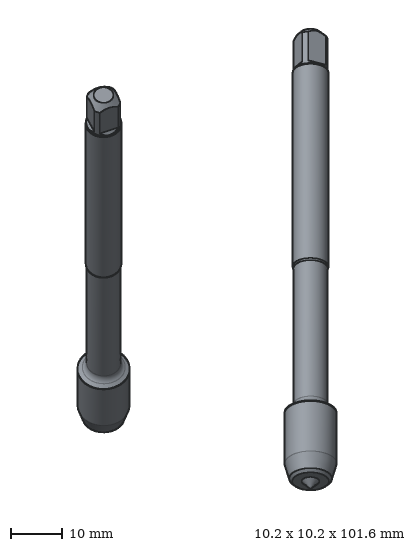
import cadquery as cq
import math

total_length = 101.6

head_radius = 10.2 / 2
head_top = 16.8
taper_top = 5.7
taper_bottom = 2.3
taper_end_radius = 4.2
end_face_height = 1.7
end_face_radius = taper_end_radius - (taper_bottom - end_face_height)
point_radius = end_face_height

neck_radius = 6.7 / 2
neck_top = 49.2
flare_rim_height = 0.2
flare_bottom = head_top + flare_rim_height
flare_angle = math.radians(60)
flare_fillet = 1.6

shank_radius = 7.0 / 2
shank_top = 92.9
shank_lower_chamfer = 0.4
shank_upper_chamfer = 0.3

square_width = 5.5
flat_count = 4
square_corner_radius = 6.7 / 2
square_base = shank_top + shank_upper_chamfer
flat_runout_height = square_corner_radius - square_width / 2
tip_radius = 1.9
tip_chamfer_height = square_corner_radius - tip_radius


def make_head():
    """Tapered cutting head with a conical centring point at its lower end."""
    profile = (
        cq.Workplane("XZ")
        .moveTo(0, 0)
        .lineTo(point_radius, end_face_height)
        .lineTo(end_face_radius, end_face_height)
        .lineTo(taper_end_radius, taper_bottom)
        .lineTo(head_radius, taper_top)
        .lineTo(head_radius, head_top)
        .lineTo(0, head_top)
        .close()
    )
    return profile.revolve(360, (0, 0, 0), (0, 1, 0))


def make_round_shank():
    """Flared neck and shank, with a small chamfer at both ends of the shank."""
    fillet_end_radius = neck_radius + flare_fillet * (1 - math.cos(flare_angle))
    fillet_bottom = flare_bottom + (head_radius - fillet_end_radius) / math.tan(flare_angle)
    fillet_top = fillet_bottom + flare_fillet * math.sin(flare_angle)
    fillet_middle = (
        neck_radius + flare_fillet * (1 - math.cos(flare_angle / 2)),
        fillet_top - flare_fillet * math.sin(flare_angle / 2),
    )
    profile = (
        cq.Workplane("XZ")
        .moveTo(0, head_top)
        .lineTo(head_radius, head_top)
        .lineTo(head_radius, flare_bottom)
        .lineTo(fillet_end_radius, fillet_bottom)
        .threePointArc(fillet_middle, (neck_radius, fillet_top))
        .lineTo(neck_radius, neck_top)
        .lineTo(shank_radius, neck_top + shank_lower_chamfer)
        .lineTo(shank_radius, shank_top)
        .lineTo(square_corner_radius, square_base)
        .lineTo(0, square_base)
        .close()
    )
    return profile.revolve(360, (0, 0, 0), (0, 1, 0))


def make_flat_cutter():
    """Cutter for the +X flat, sloped where the flat runs out at its foot."""
    half_width = square_width / 2
    return (
        cq.Workplane("XZ")
        .moveTo(half_width, total_length)
        .lineTo(half_width, square_base + flat_runout_height)
        .lineTo(square_corner_radius, square_base)
        .lineTo(shank_radius, square_base)
        .lineTo(shank_radius, total_length)
        .close()
        .extrude(shank_radius, both=True)
    )


def make_driving_square():
    """Round stem with a conical top and four flats."""
    square = (
        cq.Workplane("XY", origin=(0, 0, square_base))
        .circle(square_corner_radius)
        .extrude(total_length - square_base)
        .faces(">Z")
        .chamfer(tip_chamfer_height)
    )
    for side in range(flat_count):
        square = square.cut(make_flat_cutter().rotate((0, 0, 0), (0, 0, 1), side * 360 / flat_count))
    return square


head = make_head()
holder = make_round_shank().union(make_driving_square())

result = cq.Compound.makeCompound([head.val(), holder.val()])